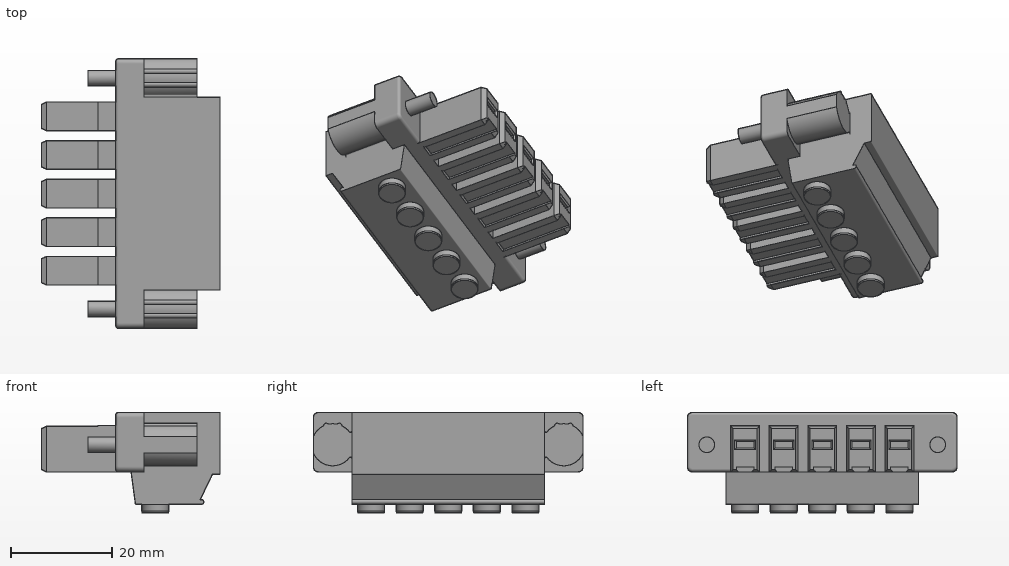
import cadquery as cq
import math

LENGTH = 53.3
DEPTH = 35.3
HEIGHT = 19.8

CONTACTS = 5
PITCH = 7.6
CONTACT_PLACES = [(i - (CONTACTS - 1) / 2) * PITCH for i in range(CONTACTS)]
AXIS_Z = 13.45

FLANGE_FRONT = 14.65
FLANGE_BACK = 20.3
FLANGE_BOTTOM = 8.05
FLANGE_CORNER_RADIUS = 1.0
FLANGE_EDGE_RADIUS = 0.6

BODY_WIDTH = CONTACTS * PITCH
BODY_BOTTOM = 1.65
BODY_FRONT_TOP = 17.7
BODY_FRONT_BOTTOM = 18.55
HEEL_Z = 7.55
HEEL_X = 33.8
LIP_NOTCH_X = 31.4
LIP_RADIUS = 0.5
LIP_CENTER_X = 31.6
BODY_EDGE_RADIUS = 0.15
BODY_FRONT_RADIUS = 0.2

PRONG_WIDTH = 5.7
PRONG_TOP = 17.1
PRONG_ROOT_X = 11.15
PRONG_ROOT_RISE = 0.15
TIP_LENGTH = 1.0
TIP_INSET = 0.5
WINDOW_WIDTH = 3.45
WINDOW_HEIGHT = 1.35
WINDOW_BEVEL = 0.3
WINDOW_DEPTH = 5.35
GROOVE_WIDTH = 3.45
GROOVE_MOUTH = 2.6
GROOVE_DEPTH = 0.95
GROOVE_LIP = 0.5

SCREW_X = 22.5
SCREW_DIAMETER = 5.4
SCREW_BEVEL_HEIGHT = 0.3
SCREW_BEVEL_INSET = 0.1

END_Y = 22.8
PIN_DIAMETER = 3.1
PIN_TIP_X = 9.15
KNOB_RADIUS = 4.15
KNOB_BACK = 30.75
KNOB_FILLET = 0.25
RIDGE_RADIUS = 0.55
RIDGE_OFFSET = 1.3
RIDGE_CENTER_RISE = 3.75


def box(x, y, z):
    """Box spanning the given (low, high) pairs."""
    size = [high - low for low, high in (x, y, z)]
    return cq.Workplane("XY").box(*size, centered=False).translate((x[0], y[0], z[0]))


def section(x, y=0.0, z=0.0):
    """Sketch plane facing +X, with Y across and Z up."""
    return cq.Workplane("YZ", origin=(x, y, z))


def make_flange():
    flange = box((FLANGE_FRONT, FLANGE_BACK), (-LENGTH / 2, LENGTH / 2), (FLANGE_BOTTOM, HEIGHT))
    flange = flange.edges("|X").fillet(FLANGE_CORNER_RADIUS)
    flange = flange.faces("<X").edges().fillet(FLANGE_EDGE_RADIUS)

    row_half_width = CONTACT_PLACES[-1] + PRONG_WIDTH / 2
    square_edge = box(
        (FLANGE_FRONT, FLANGE_BACK),
        (-row_half_width, row_half_width),
        (FLANGE_BOTTOM, FLANGE_BOTTOM + FLANGE_EDGE_RADIUS),
    )
    return flange.union(square_edge)


def make_body():
    lip_z = BODY_BOTTOM + LIP_RADIUS
    profile = (
        cq.Workplane("XZ")
        .moveTo(FLANGE_BACK, HEIGHT)
        .lineTo(DEPTH, HEIGHT)
        .lineTo(DEPTH, HEEL_Z)
        .lineTo(HEEL_X, HEEL_Z)
        .lineTo(LIP_NOTCH_X, lip_z + LIP_RADIUS)
        .lineTo(LIP_CENTER_X, lip_z + LIP_RADIUS)
        .threePointArc((LIP_CENTER_X + LIP_RADIUS, lip_z), (LIP_CENTER_X, BODY_BOTTOM))
        .lineTo(BODY_FRONT_BOTTOM, BODY_BOTTOM)
        .lineTo(BODY_FRONT_TOP, FLANGE_BOTTOM)
        .lineTo(FLANGE_BACK, FLANGE_BOTTOM)
        .close()
    )
    body = profile.extrude(BODY_WIDTH / 2, both=True)
    body = body.faces(">X").edges("|Y").fillet(BODY_EDGE_RADIUS)
    return body.faces("<Z").edges("<X").fillet(BODY_FRONT_RADIUS)


def make_prong():
    """One contact housing centred on Y = 0, with its wire window and keying groove."""
    height = PRONG_TOP - FLANGE_BOTTOM
    middle_z = FLANGE_BOTTOM + height / 2
    half_width = PRONG_WIDTH / 2
    root_end = FLANGE_FRONT + FLANGE_EDGE_RADIUS

    tip = section(TIP_LENGTH, z=middle_z).rect(PRONG_WIDTH, height)
    tip = tip.extrude(-TIP_LENGTH, taper=math.degrees(math.atan2(TIP_INSET, TIP_LENGTH)))
    shank = box((TIP_LENGTH, root_end), (-half_width, half_width), (FLANGE_BOTTOM, PRONG_TOP))
    root = box(
        (PRONG_ROOT_X, root_end),
        (-half_width, half_width),
        (FLANGE_BOTTOM, PRONG_TOP + PRONG_ROOT_RISE),
    )

    window = section(0, z=AXIS_Z).rect(WINDOW_WIDTH, WINDOW_HEIGHT).extrude(WINDOW_DEPTH)
    window_mouth = (
        section(0, z=AXIS_Z)
        .rect(WINDOW_WIDTH + 2 * WINDOW_BEVEL, WINDOW_HEIGHT + 2 * WINDOW_BEVEL)
        .extrude(WINDOW_BEVEL, taper=45)
    )
    groove = (
        section(0, z=FLANGE_BOTTOM)
        .polyline([
            (-GROOVE_MOUTH / 2, 0),
            (-GROOVE_WIDTH / 2, GROOVE_LIP),
            (-GROOVE_WIDTH / 2, GROOVE_DEPTH),
            (GROOVE_WIDTH / 2, GROOVE_DEPTH),
            (GROOVE_WIDTH / 2, GROOVE_LIP),
            (GROOVE_MOUTH / 2, 0),
        ])
        .close()
        .extrude(FLANGE_FRONT)
    )
    return tip.union(shank).union(root).cut(window).cut(window_mouth).cut(groove)


def make_screw():
    """Screw head centred on Y = 0, with a narrow bevel around its lower rim."""
    head = cq.Workplane("XY").center(SCREW_X, 0).circle(SCREW_DIAMETER / 2).extrude(BODY_BOTTOM)
    return head.faces("<Z").chamfer(SCREW_BEVEL_HEIGHT, SCREW_BEVEL_INSET)


def make_end():
    """Pin and ridged knob at the +Y end; the knob is trimmed flush with the flange end."""
    pin = section(PIN_TIP_X, END_Y, AXIS_Z).circle(PIN_DIAMETER / 2).extrude(FLANGE_BACK - PIN_TIP_X)

    knob_length = KNOB_BACK - FLANGE_BACK
    knob_plane = section(FLANGE_BACK, END_Y, AXIS_Z)
    knob = knob_plane.circle(KNOB_RADIUS).extrude(knob_length)
    ridges = (
        knob_plane
        .pushPoints([(-RIDGE_OFFSET, RIDGE_CENTER_RISE), (RIDGE_OFFSET, RIDGE_CENTER_RISE)])
        .circle(RIDGE_RADIUS)
        .extrude(knob_length)
    )

    to_body = END_Y - BODY_WIDTH / 2
    fillet_y = to_body - KNOB_FILLET
    fillet_z = math.sqrt((KNOB_RADIUS + KNOB_FILLET) ** 2 - fillet_y ** 2)
    shrink = KNOB_RADIUS / (KNOB_RADIUS + KNOB_FILLET)
    web = (
        knob_plane
        .polyline([
            (-to_body, fillet_z),
            (-fillet_y, fillet_z),
            (-fillet_y * shrink, fillet_z * shrink),
            (-fillet_y * shrink, -fillet_z * shrink),
            (-fillet_y, -fillet_z),
            (-to_body, -fillet_z),
        ])
        .close()
        .extrude(knob_length)
    )
    hollows = (
        knob_plane
        .pushPoints([(-fillet_y, fillet_z), (-fillet_y, -fillet_z)])
        .circle(KNOB_FILLET)
        .extrude(knob_length)
    )
    knob = knob.union(ridges).union(web.cut(hollows))
    envelope = box((FLANGE_BACK, KNOB_BACK), (BODY_WIDTH / 2, LENGTH / 2), (0, HEIGHT))
    return pin.union(knob.intersect(envelope))


result = make_flange().union(make_body())
prong = make_prong()
screw = make_screw()
for place in CONTACT_PLACES:
    result = result.union(prong.translate((0, place, 0)))
    result = result.union(screw.translate((0, place, 0)))

end = make_end()
result = result.union(end).union(end.mirror("XZ"))